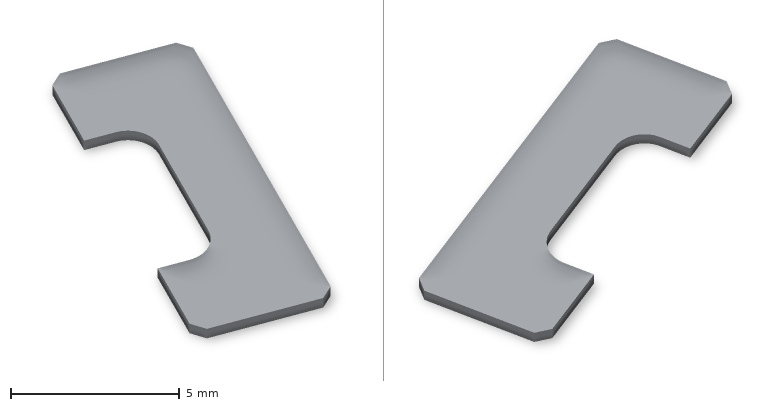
import cadquery as cq

length = 12.0
width = 4.5
corner_chamfer = 0.4

notch_width = length / 2
notch_depth = 2.0
notch_radius = 1.0

total_thickness = 0.38
lower_thickness = 0.13
upper_thickness = total_thickness - lower_thickness


def notched_plate(bottom, thickness):
    """Chamfered plate with a round-cornered notch, standing on the height `bottom`."""
    plate = (
        cq.Workplane("XY", origin=(0, 0, bottom))
        .rect(length, width)
        .extrude(thickness)
        .edges("|Z")
        .chamfer(corner_chamfer)
    )
    notch = (
        cq.Workplane("XY", origin=(0, -width / 2, bottom))
        .rect(notch_width, 2 * notch_depth)
        .extrude(thickness)
        .edges("|Z")
        .fillet(notch_radius)
    )
    return plate.cut(notch)


lower_layer = notched_plate(0, lower_thickness)
upper_layer = notched_plate(lower_thickness, upper_thickness)

result = cq.Compound.makeCompound([lower_layer.val(), upper_layer.val()])